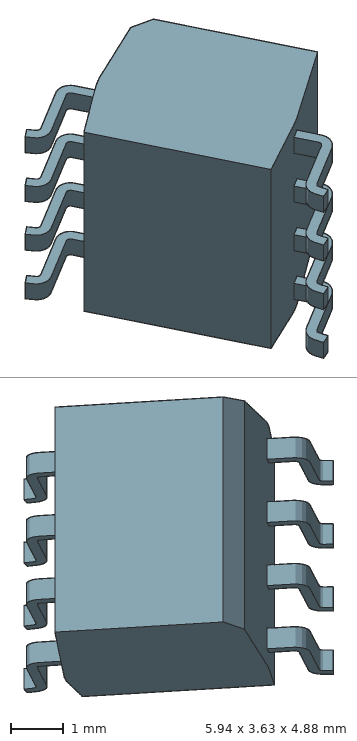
import cadquery as cq
import math


lead_span = 5.94
total_height = 3.63
housing_length = 4.88

lead_thickness = 0.21
lead_width = 0.415
lead_pitch = 1.27
leads_per_row = 4
leg_outer_x = 2.72
leg_inner_x = leg_outer_x - lead_thickness
bend_inner_radius = 0.085
bend_outer_radius = bend_inner_radius + lead_thickness
foot_angle = math.radians(8)

housing_width = 3.895
standoff = 0.21
band_bottom = 1.4
band_top = band_bottom + lead_thickness
taper_angle = 5
bottom_block_height = band_bottom - standoff
top_block_height = total_height - band_top

bevel_width = 0.31
bevel_height = 0.375


def make_tapered_block(base_y, outward_y, height):
    """Block that grows away from the band and narrows on all four sides."""
    base = cq.Plane(origin=(0, base_y, 0), xDir=(1, 0, 0), normal=(0, outward_y, 0))
    return cq.Workplane(base).rect(housing_width, housing_length).extrude(height, taper=taper_angle)


def make_bevel_cutter():
    """Triangular prism that removes the upper -X edge of the housing."""
    slope = math.tan(math.radians(taper_angle))
    corner_x = -housing_width / 2 + top_block_height * slope
    side_x = corner_x - bevel_height * slope
    return (
        cq.Workplane("XY")
        .moveTo(corner_x + bevel_width, total_height)
        .lineTo(side_x, total_height - bevel_height)
        .lineTo(side_x, total_height)
        .close()
        .extrude(housing_length / 2, both=True)
    )


def make_housing():
    band = (
        cq.Workplane("XY")
        .box(housing_width, lead_thickness, housing_length)
        .translate((0, (band_bottom + band_top) / 2, 0))
    )
    bottom_block = make_tapered_block(band_bottom, -1, bottom_block_height)
    top_block = make_tapered_block(band_top, 1, top_block_height)
    return band.union(bottom_block).union(top_block).cut(make_bevel_cutter())


def make_lead():
    """Gull-wing lead on the +X side: shoulder, upper bend, leg, lower bend and sloping foot."""
    root_x = housing_width / 2
    shoulder_end_x = leg_inner_x - bend_inner_radius
    leg_top_y = band_bottom - bend_inner_radius

    sine = math.sin(foot_angle)
    cosine = math.cos(foot_angle)
    lower_bend_x = leg_outer_x + bend_inner_radius
    foot_length = (lead_span / 2 - lower_bend_x + bend_inner_radius * sine) / cosine
    lower_bend_y = bend_outer_radius * cosine + foot_length * sine

    def foot_start(radius):
        return (lower_bend_x - radius * sine, lower_bend_y - radius * cosine)

    def foot_tip(radius):
        start_x, start_y = foot_start(radius)
        return (start_x + foot_length * cosine, start_y - foot_length * sine)

    return (
        cq.Workplane("XY")
        .moveTo(root_x, band_top)
        .lineTo(shoulder_end_x, band_top)
        .tangentArcPoint((leg_outer_x, leg_top_y), relative=False)
        .lineTo(leg_outer_x, lower_bend_y)
        .tangentArcPoint(foot_start(bend_inner_radius), relative=False)
        .lineTo(*foot_tip(bend_inner_radius))
        .lineTo(*foot_tip(bend_outer_radius))
        .lineTo(*foot_start(bend_outer_radius))
        .tangentArcPoint((leg_inner_x, lower_bend_y), relative=False)
        .lineTo(leg_inner_x, leg_top_y)
        .tangentArcPoint((shoulder_end_x, band_bottom), relative=False)
        .lineTo(root_x, band_bottom)
        .close()
        .extrude(lead_width / 2, both=True)
    )


housing = make_housing()

right_lead = make_lead()
left_lead = right_lead.mirror("YZ")
leads = []
for index in range(leads_per_row):
    lead_z = (index - (leads_per_row - 1) / 2) * lead_pitch
    for lead in (left_lead, right_lead):
        leads.append(lead.translate((0, 0, lead_z)).solids().val())

result = cq.Compound.makeCompound([housing.solids().val(), *leads])